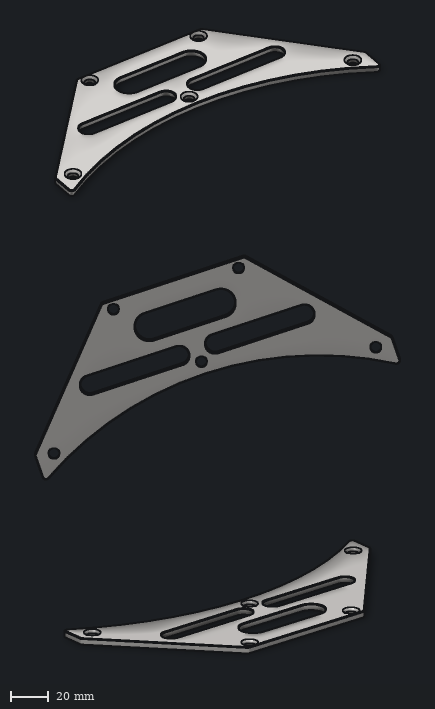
import cadquery as cq
import math

thickness = 4.0
half_length = 100.0
left_edge_half_length = 40.0
end_edge_start_x = 66.72
overall_width = 81.48
corner_radius = 2.0
edge_chamfer = 0.5

waist_x = 54.0

wide_slot_x = 20.0
wide_slot_width = 15.0
wide_slot_length = 55.0
narrow_slot_x = 40.0
narrow_slot_y = 35.0
narrow_slot_width = 10.0
narrow_slot_length = 60.0

hole_diameter = 5.8
countersink_diameter = 9.0
countersink_angle = 90.0
left_hole_x = 5.0
left_hole_y = 35.0
waist_hole_x = 47.0
tip_hole_x = 69.2
tip_hole_y = 90.0


def concave_radius():
    """Radius that lets the rounded tips just reach the overall width."""
    tip_center_offset = overall_width - corner_radius - waist_x
    tip_center_y = half_length - corner_radius
    squares = tip_center_y**2 + tip_center_offset**2 - corner_radius**2
    return squares / (2 * (tip_center_offset + corner_radius))


def make_plate():
    radius = concave_radius()
    sharp_tip_x = waist_x + radius - math.sqrt(radius**2 - half_length**2)
    outline = (
        cq.Workplane("XY")
        .moveTo(0, -left_edge_half_length)
        .lineTo(end_edge_start_x, -half_length)
        .lineTo(sharp_tip_x, -half_length)
        .threePointArc((waist_x, 0), (sharp_tip_x, half_length))
        .lineTo(end_edge_start_x, half_length)
        .lineTo(0, left_edge_half_length)
        .close()
    )
    return outline.extrude(thickness).edges("|Z").fillet(corner_radius)


def cut_slot(plate, x, y, length, width):
    slot = cq.Workplane("XY").center(x, y).slot2D(length, width, 90).extrude(thickness)
    return plate.cut(slot)


def drill_countersunk_holes(plate):
    centers = [(waist_hole_x, 0)]
    for side in (-1, 1):
        centers.append((left_hole_x, side * left_hole_y))
        centers.append((tip_hole_x, side * tip_hole_y))
    return (
        plate.faces(">Z")
        .workplane(origin=(0, 0, thickness))
        .pushPoints(centers)
        .cskHole(hole_diameter, countersink_diameter, countersink_angle)
    )


plate = make_plate()
plate = cut_slot(plate, wide_slot_x, 0, wide_slot_length, wide_slot_width)
for side in (-1, 1):
    plate = cut_slot(plate, narrow_slot_x, side * narrow_slot_y, narrow_slot_length, narrow_slot_width)

plate = plate.faces("<Z or >Z").edges().chamfer(edge_chamfer)

result = drill_countersunk_holes(plate)